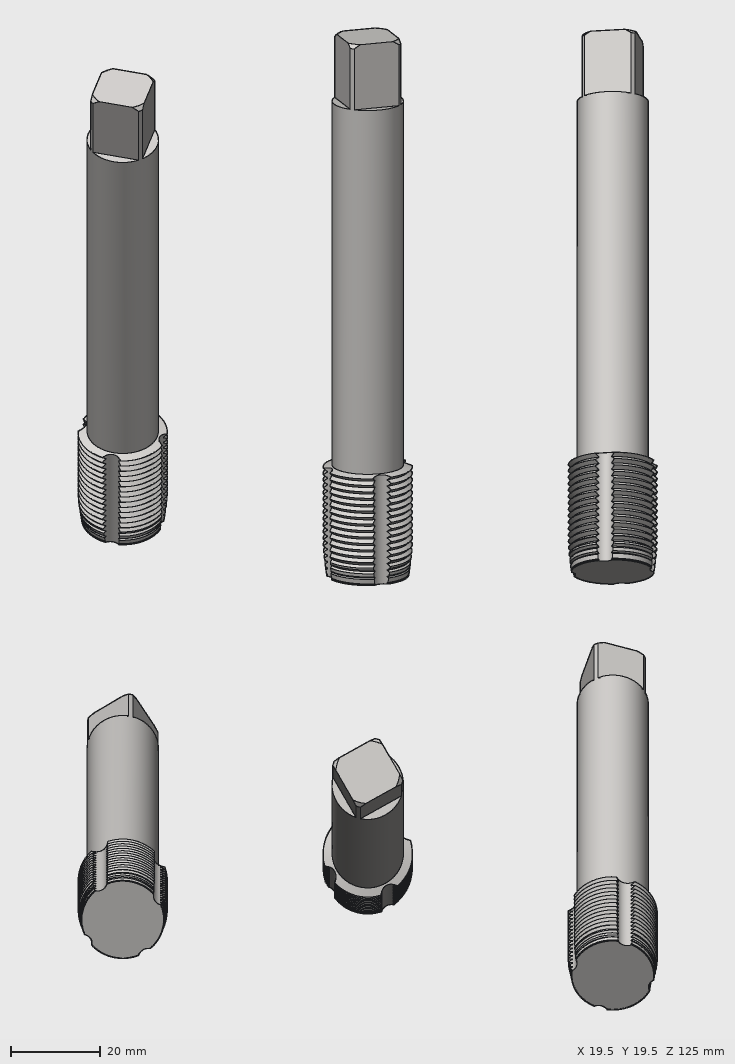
import cadquery as cq
import math

total_length = 125.0

crest_radius = 10.0
thread_depth = 0.9
pitch = 1.5
thread_count = 17
shoulder_height = 0.5
taper_height = 4 * pitch
taper_bottom_radius = 9.2

flute_count = 4
flute_width = 4.4
flute_floor_radius = 8.5
flute_wall_angle = 45.0

shank_radius = 8.0
square_length = 15.0
square_width = 12.0
end_chamfer = 0.9

head_height = thread_count * pitch
top_crest_z = head_height - shoulder_height
flute_half_width = flute_width / 2
root_radius = crest_radius - thread_depth


def make_head_blank():
    """Head without grooves: lead-in taper, cylinder and sloping shoulder up to the shank."""
    return (
        cq.Workplane("XZ")
        .moveTo(0, 0)
        .lineTo(taper_bottom_radius, 0)
        .lineTo(crest_radius, taper_height)
        .lineTo(crest_radius, top_crest_z)
        .lineTo(shank_radius, head_height)
        .lineTo(0, head_height)
        .close()
        .revolve(360, (0, 0, 0), (0, 1, 0))
    )


def make_thread_envelope():
    """Stack of V-shaped rings, one per thread, closed above by the top crest."""
    profile = cq.Workplane("XZ").moveTo(0, head_height).lineTo(crest_radius, head_height)
    profile = profile.lineTo(crest_radius, top_crest_z)
    for index in range(thread_count):
        crest_z = top_crest_z - index * pitch
        profile = profile.lineTo(root_radius, crest_z - pitch / 2)
        profile = profile.lineTo(crest_radius, crest_z - pitch)
    lowest_crest_z = top_crest_z - thread_count * pitch
    return profile.lineTo(0, lowest_crest_z).close().revolve(360, (0, 0, 0), (0, 1, 0))


def make_flute():
    """V-groove on the +X side with a round floor tangent to both sloping walls."""
    lip_x = math.sqrt(crest_radius**2 - flute_half_width**2)
    slope = math.tan(math.radians(flute_wall_angle))
    apex_x = lip_x - flute_half_width * slope
    cosine = math.cos(math.radians(flute_wall_angle))
    floor_arc_radius = (flute_floor_radius - apex_x) / (1 / cosine - 1)
    tangent_y = floor_arc_radius * math.sin(math.radians(flute_wall_angle))
    tangent_x = apex_x + tangent_y * slope
    outer_x = crest_radius + thread_depth
    outer_y = (outer_x - apex_x) / slope
    return (
        cq.Workplane("XY")
        .moveTo(outer_x, -outer_y)
        .lineTo(tangent_x, -tangent_y)
        .threePointArc((flute_floor_radius, 0), (tangent_x, tangent_y))
        .lineTo(outer_x, outer_y)
        .close()
        .extrude(head_height)
    )


def make_head():
    """Threaded head with flutes facing +X, +Y, -X and -Y."""
    head = make_head_blank().intersect(make_thread_envelope())
    flute = make_flute()
    for index in range(flute_count):
        head = head.cut(flute.rotate((0, 0, 0), (0, 0, 1), index * 360 / flute_count))
    return head


def make_shank():
    """Round shank whose top end is milled to a square with its corners left round."""
    square_base_z = total_length - square_length
    shank = (
        cq.Workplane("XY", origin=(0, 0, head_height))
        .circle(shank_radius)
        .extrude(total_length - head_height)
        .faces(">Z")
        .chamfer(end_chamfer)
    )
    square_surround = (
        cq.Workplane("XY", origin=(0, 0, square_base_z))
        .circle(2 * shank_radius)
        .rect(square_width, square_width)
        .extrude(square_length)
    )
    return shank.cut(square_surround)


head = make_head()
shank = make_shank()

result = cq.Compound.makeCompound([head.val(), shank.val()])